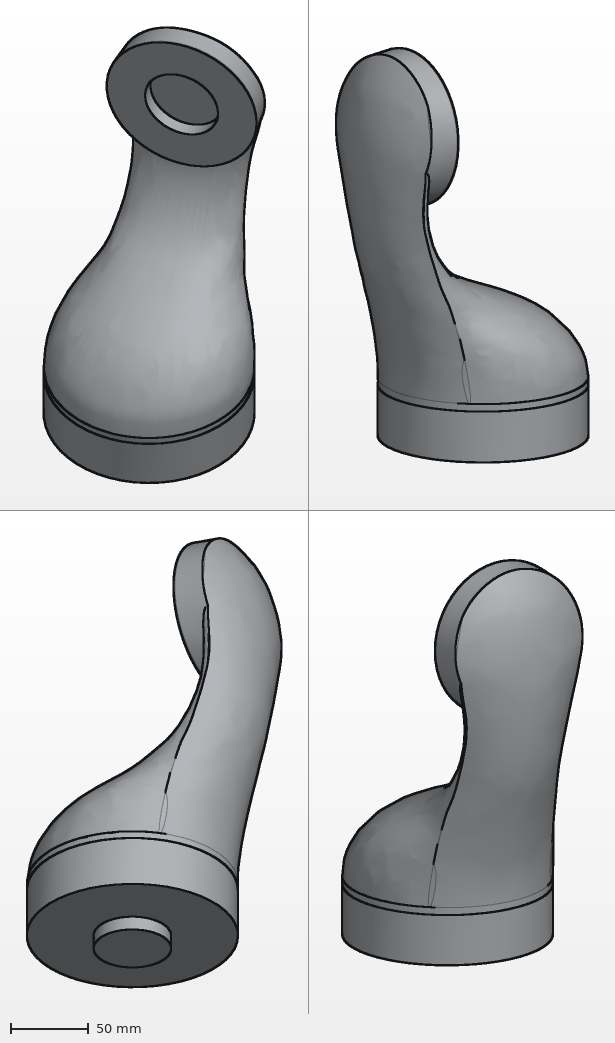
import cadquery as cq
import math

BASE_RADIUS = 68.1
BASE_HEIGHT = 34.0
COLLAR_RADIUS = 67.9
COLLAR_TOP = 39.0
SPIGOT_RADIUS = 25.0
SPIGOT_LENGTH = 9.5

TOTAL_HEIGHT = 277.0
DISC_RADIUS = 51.5
DISC_CENTRE_Z = TOTAL_HEIGHT - SPIGOT_LENGTH - DISC_RADIUS
DISC_FACE_Y = 60.7
RIM_LAND = 1.2
TAPER_DEPTH = 21.0
TAPER_STEP = 2.0
DISC_DEPTH = 45.0
SOCKET_RADIUS = SPIGOT_RADIUS
SOCKET_DEPTH = 10.0

ENVELOPE_HALF_WIDTH = 90.0
ENVELOPE_FRONT_Y = -90.0
SHOULDER_EASE = 0.75

FRONT_CURVE_POINTS = 13
TAIL_LENGTH = 25.0

EDGE_ANGLE = math.radians(45)
BASE_EDGE = COLLAR_RADIUS * math.cos(EDGE_ANGLE)

BACK_SECTIONS = [
    (COLLAR_TOP, BASE_EDGE, BASE_EDGE, COLLAR_RADIUS),
    (52.5, 47.4, 49.2, 68.6),
    (67.5, 46.5, 51.5, 71.7),
    (93.5, 44.2, 58, 79.2),
    (125.5, 40.0, 69, 90),
    (162.5, 40.0, 80, 96.8),
    (185.5, 44.0, 82.5, 98.5),
    (211.5, 49.3, 82, 98.2),
    (237.5, 44.0, 80, 93.0),
    (255.5, 36.7, 75.2, 85.2),
    (267.5, 30.0, 70.0, 76.0),
    (275.5, 30.0, 61.5, 67.5),
]

NECK_SECTIONS = [
    (COLLAR_TOP, -COLLAR_RADIUS, COLLAR_RADIUS, BASE_EDGE, BASE_EDGE),
    (52.5, -64.5, 67.5, 47.5, 49),
    (67.5, -55, 63.8, 46.5, 51.5),
    (83.5, -37, 54.5, 45.3, 55),
    (93.5, -18, 47.0, 44.2, 58),
    (105.5, 12, 43.2, 42.8, 62),
    (122.5, 43, 40.3, 40.2, 68),
    (140.5, 58, 39.3, 39.2, 75),
    (162.5, 66.5, 40.0, 39.9, 80),
    (185.5, 69, 44.0, 43.9, 82.5),
    (205.5, 70, 46.0, 45.9, 82.5),
]


def back_section(z, edge_x, edge_y, crown_y):
    """Slice of the envelope: a crowned back, sloping shoulders and a plain front."""
    rise = crown_y - edge_y
    radius = (edge_x ** 2 + rise ** 2) / (2 * rise)
    slope = SHOULDER_EASE * edge_x / (radius - rise)
    shoulder_y = edge_y - slope * (ENVELOPE_HALF_WIDTH - edge_x)
    return (
        cq.Workplane("XY", origin=(0, 0, z))
        .moveTo(-ENVELOPE_HALF_WIDTH, ENVELOPE_FRONT_Y)
        .lineTo(-ENVELOPE_HALF_WIDTH, shoulder_y)
        .lineTo(-edge_x, edge_y)
        .threePointArc((0, crown_y), (edge_x, edge_y))
        .lineTo(ENVELOPE_HALF_WIDTH, shoulder_y)
        .lineTo(ENVELOPE_HALF_WIDTH, ENVELOPE_FRONT_Y)
        .close()
        .val()
    )


def neck_section(z, front_y, half_width, edge_x, edge_y):
    """Slice of the neck: an elliptic front whose ends run straight out past the back."""
    start = math.acos(edge_x / half_width)
    centre_y = (edge_y + front_y * math.sin(start)) / (1 + math.sin(start))
    depth = centre_y - front_y
    sweep = math.pi + 2 * start
    front = []
    for i in range(FRONT_CURVE_POINTS):
        angle = start - sweep * i / (FRONT_CURVE_POINTS - 1)
        front.append((half_width * math.cos(angle), centre_y + depth * math.sin(angle)))
    tail_x = edge_x - TAIL_LENGTH * half_width * math.sin(start) / (depth * math.cos(start))
    tail_y = edge_y + TAIL_LENGTH
    return (
        cq.Workplane("XY", origin=(0, 0, z))
        .moveTo(-edge_x, edge_y)
        .lineTo(-tail_x, tail_y)
        .lineTo(tail_x, tail_y)
        .lineTo(edge_x, edge_y)
        .spline(front[1:], includeCurrent=True)
        .close()
        .val()
    )


def loft(sections):
    return cq.Workplane(cq.Solid.makeLoft(sections))


def make_disc():
    """Disc with a narrow cylindrical rim that tapers toward the back."""
    back_radius = DISC_RADIUS - TAPER_STEP * (DISC_DEPTH - RIM_LAND) / TAPER_DEPTH
    profile = [
        (0, 0),
        (DISC_RADIUS, 0),
        (DISC_RADIUS, RIM_LAND),
        (back_radius, DISC_DEPTH),
        (0, DISC_DEPTH),
    ]
    return (
        cq.Workplane("XY")
        .polyline(profile)
        .close()
        .revolve(360, (0, 0, 0), (0, 1, 0))
        .translate((0, DISC_FACE_Y, DISC_CENTRE_Z))
    )


def make_base():
    base = cq.Workplane("XY").circle(BASE_RADIUS).extrude(BASE_HEIGHT)
    collar = cq.Workplane("XY").circle(COLLAR_RADIUS).extrude(COLLAR_TOP)
    spigot = cq.Workplane("XY").circle(SPIGOT_RADIUS).extrude(-SPIGOT_LENGTH)
    return base.union(collar).union(spigot)


def make_socket():
    return (
        cq.Workplane("XZ", origin=(0, DISC_FACE_Y, DISC_CENTRE_Z))
        .circle(SOCKET_RADIUS)
        .extrude(-SOCKET_DEPTH)
    )


envelope = loft([back_section(*row) for row in BACK_SECTIONS])
neck = loft([neck_section(*row) for row in NECK_SECTIONS])
arm = neck.intersect(envelope).union(make_disc().intersect(envelope))
result = make_base().union(arm).cut(make_socket())